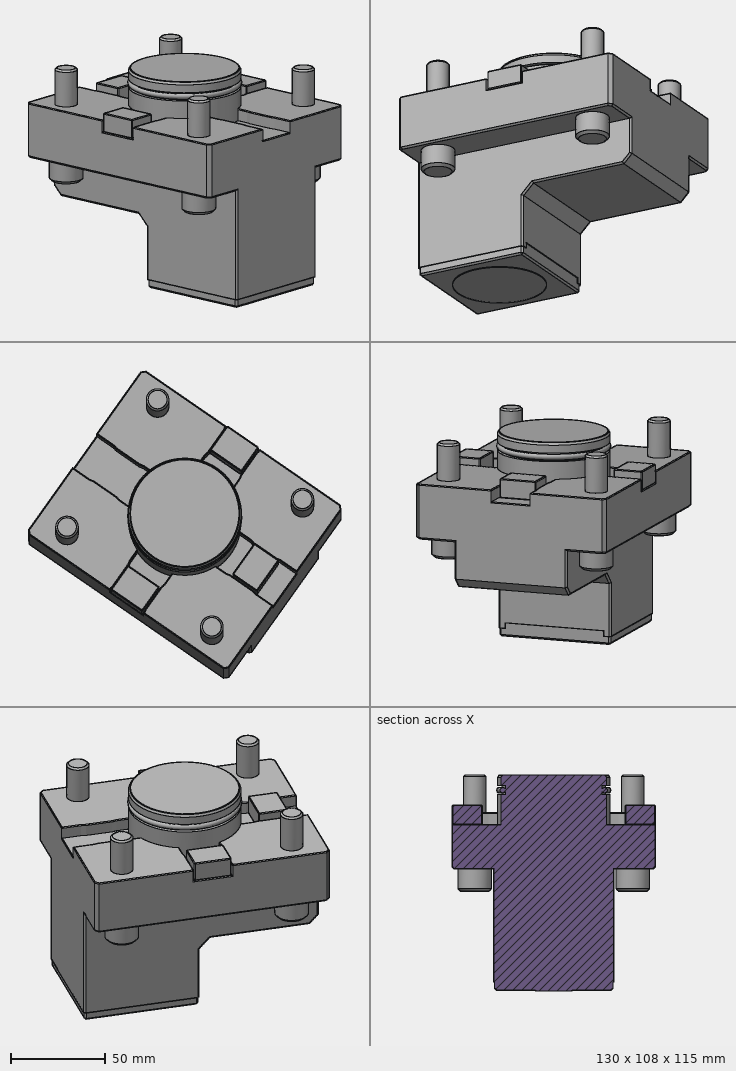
import cadquery as cq

FLANGE_X = 130.0
FLANGE_Y = 108.0
FLANGE_THICK = 30.0
FLANGE_CORNER = 2.0
FLANGE_BOTTOM_CHAMFER = 1.0
FLANGE_TOP_CHAMFER = 0.5

BODY_WIDTH = 64.0
ARM_BOTTOM = -55.0
ARM_END_CHAMFER = 5.0
STEP_CHAMFER = 6.0
LEG_BOTTOM = -90.0
BODY_EDGE_CHAMFER = 1.0
BODY_OVERLAP = 10.0
BODY_RIGHT = FLANGE_X / 2
LEG_LEFT = BODY_RIGHT - BODY_WIDTH
LEG_CENTER = BODY_RIGHT - BODY_WIDTH / 2

PLATE_INSET = 0.5
PLATE_WIDTH = BODY_WIDTH - 2 * PLATE_INSET
PLATE_THICK = 4.5
PLATE_CHAMFER = 1.0
TONGUE_WIDTH = 56.0
TONGUE_HEIGHT = 3.0
DISC_DIAMETER = 50.0
DISC_THICK = 0.5

SLOT_WIDTH = 22.0
SLOT_DEPTH = 6.5
SEAT_WIDTH = 21.0
SEAT_INNER_END = 34.5
SEAT_OUTER_END = 54.0
SEAT_TAPER = 2.5
KEY_WIDTH = 20.5
KEY_LENGTH = 16.0
KEY_RISE = 4.0
KEY_CHAMFER = 0.5
X_KEY_CENTER = 46.0
Y_KEY_CENTER = FLANGE_Y / 2 - KEY_LENGTH / 2

PISTON_DIAMETER = 60.0
PISTON_RISE = 20.0
LEAD_IN_HEIGHT = 1.5
LEAD_IN_DEPTH = 0.9
RIM_CHAMFER = 0.3
GROOVE_DIAMETER = 55.2
RING_DIAMETER = 60.7
RING_SECTION = 3.0
GROOVE_TOP = 14.2
GROOVE_BOTTOM = 9.6
RING_Z = 11.8

SCREW_X = 47.0
SCREW_Y = 42.0
SHANK_DIAMETER = 12.0
SHANK_RISE = 20.0
SHANK_CHAMFER = 1.0
HEAD_DIAMETER = 18.0
HEAD_HEIGHT = 12.0
HEAD_CHAMFER = 1.5

PLUG_DIAMETER = 14.0
PLUG_X = 54.0
PLUG_Y = 26.0
PLUG_DEPTH = 10.0


def block(size_x, size_y, bottom, top, x=0.0, y=0.0):
    """Box centred on (x, y) between two heights."""
    return cq.Workplane("XY").box(
        size_x, size_y, top - bottom, centered=(True, True, False)
    ).translate((x, y, bottom))


def cylinder(diameter, bottom, top, x=0.0, y=0.0):
    """Upright cylinder between two heights."""
    return cq.Workplane("XY", origin=(x, y, bottom)).circle(diameter / 2).extrude(top - bottom)


def make_flange():
    """Flange plate with the cross slots cut in and its top outline broken, slots included."""
    flange = block(FLANGE_X, FLANGE_Y, -FLANGE_THICK, 0.0)
    flange = flange.edges("|Z").chamfer(FLANGE_CORNER)
    flange = flange.faces("<Z").edges().chamfer(FLANGE_BOTTOM_CHAMFER)
    flange = flange.cut(make_slots())
    floor_ends = cq.Workplane("XY")
    for end in (-1, 1):
        for x, y in ((end * FLANGE_X / 2, 0.0), (0.0, end * FLANGE_Y / 2)):
            floor_ends.add(flange.edges(cq.selectors.NearestToPointSelector((x, y, -SLOT_DEPTH))))
    rims = flange.faces(">Z").edges().add(floor_ends)
    return flange.newObject(rims.vals()).chamfer(FLANGE_TOP_CHAMFER)


def make_body():
    """L-shaped side profile across the body width, with its long edges broken."""
    top = -FLANGE_THICK + BODY_OVERLAP
    profile = [
        (-BODY_RIGHT, top),
        (-BODY_RIGHT, ARM_BOTTOM + ARM_END_CHAMFER),
        (-BODY_RIGHT + ARM_END_CHAMFER, ARM_BOTTOM),
        (LEG_LEFT - STEP_CHAMFER, ARM_BOTTOM),
        (LEG_LEFT, ARM_BOTTOM - STEP_CHAMFER),
        (LEG_LEFT, LEG_BOTTOM),
        (BODY_RIGHT, LEG_BOTTOM),
        (BODY_RIGHT, top),
    ]
    body = cq.Workplane("XZ").polyline(profile).close().extrude(BODY_WIDTH / 2, both=True)
    side_edges = body.faces("<Y or >Y").edges()
    outline = side_edges.filter(lambda edge: LEG_BOTTOM < edge.Center().z < top)
    return outline.chamfer(BODY_EDGE_CHAMFER)


def make_plate():
    bottom = LEG_BOTTOM - PLATE_THICK
    plate = block(PLATE_WIDTH, PLATE_WIDTH, bottom, LEG_BOTTOM, LEG_CENTER)
    plate = plate.edges("|Z or <Z").chamfer(PLATE_CHAMFER)
    return plate.union(cylinder(DISC_DIAMETER, bottom - DISC_THICK, bottom, LEG_CENTER))


def make_tongue_recess():
    """Shallow relief that brings the step wall flush with the plate edge."""
    return block(
        2 * PLATE_INSET, TONGUE_WIDTH, LEG_BOTTOM, LEG_BOTTOM + TONGUE_HEIGHT, LEG_LEFT
    )


def make_slot(length):
    """Slot along X, narrowed near both ends by low lips with tapered runs."""
    slot = block(length, SLOT_WIDTH, -SLOT_DEPTH, 0.0)
    lip_profile = [
        (SEAT_INNER_END, SLOT_WIDTH / 2),
        (SEAT_INNER_END + SEAT_TAPER, SEAT_WIDTH / 2),
        (SEAT_OUTER_END - SEAT_TAPER, SEAT_WIDTH / 2),
        (SEAT_OUTER_END, SLOT_WIDTH / 2),
    ]
    lip = cq.Workplane("XY").polyline(lip_profile).close().extrude(-SLOT_DEPTH)
    lips = lip.union(lip.mirror("XZ"))
    return slot.cut(lips).cut(lips.mirror("YZ"))


def make_slots():
    slot_y = make_slot(FLANGE_Y).rotate((0, 0, 0), (0, 0, 1), 90)
    return make_slot(FLANGE_X).union(slot_y)


def make_key(size_x, size_y, x, y):
    key = block(size_x, size_y, -SLOT_DEPTH, KEY_RISE, x, y)
    return key.edges().chamfer(KEY_CHAMFER)


def make_keys():
    """Keys in the -X, -Y and +Y slots; the +X slot stays open."""
    keys = make_key(KEY_LENGTH, KEY_WIDTH, -X_KEY_CENTER, 0.0)
    for side in (-1, 1):
        keys = keys.union(make_key(KEY_WIDTH, KEY_LENGTH, 0.0, side * Y_KEY_CENTER))
    return keys


def make_piston():
    """Turned piston with a lead-in at the top and an O-ring seated in its groove."""
    radius = PISTON_DIAMETER / 2
    groove_radius = GROOVE_DIAMETER / 2
    profile = [
        (0.0, -SLOT_DEPTH),
        (radius, -SLOT_DEPTH),
        (radius, GROOVE_BOTTOM),
        (groove_radius, GROOVE_BOTTOM),
        (groove_radius, GROOVE_TOP),
        (radius, GROOVE_TOP),
        (radius, PISTON_RISE - LEAD_IN_HEIGHT),
        (radius - LEAD_IN_DEPTH, PISTON_RISE),
        (0.0, PISTON_RISE),
    ]
    piston = cq.Workplane("XZ").polyline(profile).close().revolve(360, (0, 0), (0, 1))
    piston = piston.faces(">Z").edges().chamfer(RIM_CHAMFER)
    ring_radius = (RING_DIAMETER - RING_SECTION) / 2
    ring = cq.Workplane("XZ").center(ring_radius, RING_Z).circle(RING_SECTION / 2)
    ring = ring.revolve(360, (-ring_radius, 0), (-ring_radius, 1))
    return piston.union(ring)


def make_screw(x, y):
    shank = cylinder(SHANK_DIAMETER, -FLANGE_THICK, SHANK_RISE, x, y)
    shank = shank.faces(">Z").edges().chamfer(SHANK_CHAMFER)
    head = cylinder(HEAD_DIAMETER, -FLANGE_THICK - HEAD_HEIGHT, -FLANGE_THICK, x, y)
    return shank.union(head.faces("<Z").edges().chamfer(HEAD_CHAMFER))


result = make_flange().union(make_body()).cut(make_tongue_recess()).union(make_plate())
result = result.union(make_keys()).union(make_piston())
for screw_x in (-SCREW_X, SCREW_X):
    for screw_y in (-SCREW_Y, SCREW_Y):
        result = result.union(make_screw(screw_x, screw_y))

plug_spots = [(-PLUG_X, PLUG_Y), (PLUG_X, -PLUG_Y)]
plugs = cq.Workplane("XY").pushPoints(plug_spots).circle(PLUG_DIAMETER / 2).extrude(-PLUG_DEPTH)
result = result.cut(plugs).union(plugs, clean=False)